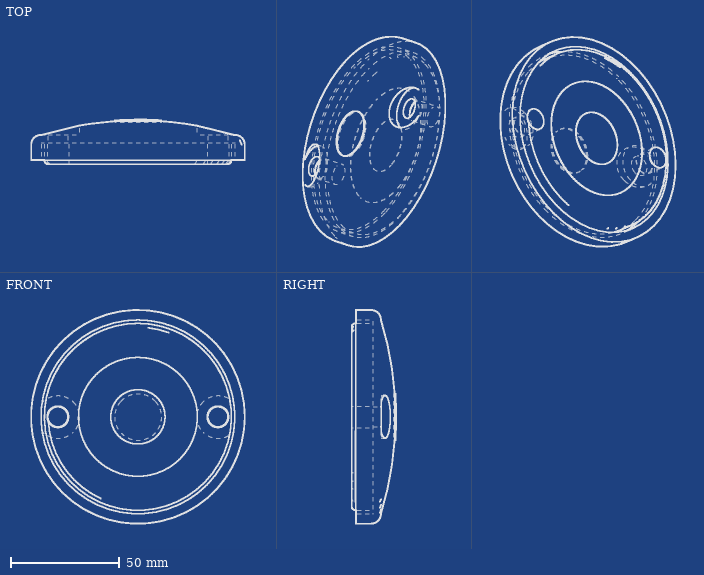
import cadquery as cq
import math

TOTAL_DEPTH = 20.8

HOUSING_RADIUS = 49.5
RIM_HEIGHT = 7.0
SHOULDER_RADIUS = 4.7
DOME_RADIUS = HOUSING_RADIUS - SHOULDER_RADIUS
DOME_EDGE = RIM_HEIGHT + SHOULDER_RADIUS
RECESS_RADIUS = 44.8
RECESS_DEPTH = 7.9

PLATE_RADIUS = 43.3
PLATE_PROJECTION = 2.0
PLATE_THICKNESS = RECESS_DEPTH + PLATE_PROJECTION
PLATE_FILLET = 1.8
RING_OUTER_RADIUS = 27.5
RING_INNER_RADIUS = 12.6
RING_DEPTH = 0.2

BADGE_RADIUS = 10.8
BADGE_PROJECTION = 0.4
BADGE_SEAT = 17.4
BADGE_TOP = TOTAL_DEPTH - PLATE_PROJECTION
DOME_TOP = BADGE_TOP - BADGE_PROJECTION
DOME_RISE = DOME_TOP - DOME_EDGE
SPHERE_RADIUS = (DOME_RADIUS**2 + DOME_RISE**2) / (2 * DOME_RISE)

HOLE_OFFSET = 37.0
HOUSING_HOLE_RADIUS = 4.7
PLATE_HOLE_RADIUS = 4.95
COUNTERBORE_RADIUS = 9.9
SCREW_POSITIONS = (-HOLE_OFFSET, HOLE_OFFSET)


def cylinder(radius, start, end, x=0):
    """Cylinder along Y between two Y positions."""
    return cq.Workplane(cq.Solid.makeCylinder(
        radius, end - start, cq.Vector(x, start, 0), cq.Vector(0, 1, 0)))


def revolve(profile):
    """Turn a closed XY profile about the Y axis."""
    return profile.close().revolve(360, (0, 0, 0), (0, 1, 0))


def sphere_height(radius, top):
    """Y of a spherical surface with the given apex, at a radius from the axis."""
    return top - SPHERE_RADIUS + math.sqrt(SPHERE_RADIUS**2 - radius**2)


def make_housing():
    shoulder_mid = SHOULDER_RADIUS * math.sqrt(0.5)
    dome_mid = DOME_RADIUS / 2
    body = revolve(
        cq.Workplane("XY")
        .moveTo(0, 0)
        .lineTo(HOUSING_RADIUS, 0)
        .lineTo(HOUSING_RADIUS, RIM_HEIGHT)
        .threePointArc((DOME_RADIUS + shoulder_mid, RIM_HEIGHT + shoulder_mid), (DOME_RADIUS, DOME_EDGE))
        .threePointArc((dome_mid, sphere_height(dome_mid, DOME_TOP)), (0, DOME_TOP))
    )
    body = body.cut(cylinder(RECESS_RADIUS, 0, RECESS_DEPTH))
    body = body.cut(cylinder(BADGE_RADIUS, BADGE_SEAT, TOTAL_DEPTH))
    for x in SCREW_POSITIONS:
        body = body.cut(cylinder(HOUSING_HOLE_RADIUS, 0, TOTAL_DEPTH, x))
        body = body.cut(cylinder(COUNTERBORE_RADIUS, DOME_EDGE, TOTAL_DEPTH, x))
    return body


def make_plate():
    front = -PLATE_PROJECTION
    body = cylinder(PLATE_RADIUS, front, front + PLATE_THICKNESS)
    body = body.faces("<Y").edges().fillet(PLATE_FILLET)
    body = body.cut(cylinder(RING_OUTER_RADIUS, front, front + RING_DEPTH))
    body = body.union(cylinder(RING_INNER_RADIUS, front, front + RING_DEPTH))
    for x in SCREW_POSITIONS:
        body = body.cut(cylinder(PLATE_HOLE_RADIUS, front, RECESS_DEPTH, x))
    return body


def make_badge():
    badge_mid = BADGE_RADIUS / 2
    return revolve(
        cq.Workplane("XY")
        .moveTo(0, BADGE_SEAT)
        .lineTo(BADGE_RADIUS, BADGE_SEAT)
        .lineTo(BADGE_RADIUS, sphere_height(BADGE_RADIUS, BADGE_TOP))
        .threePointArc((badge_mid, sphere_height(badge_mid, BADGE_TOP)), (0, BADGE_TOP))
    )


housing = make_housing()
plate = make_plate()
badge = make_badge()

result = cq.Compound.makeCompound([housing.val(), plate.val(), badge.val()])